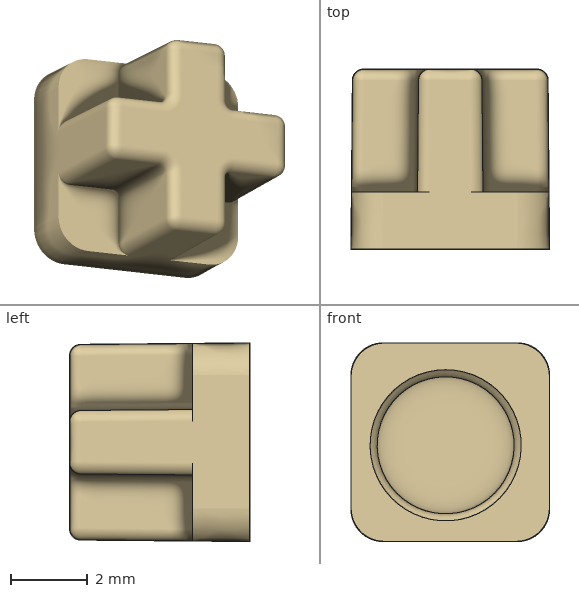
import cadquery as cq

draft_angle = 0.5

plate_size = 5.18
plate_thickness = 1.5
plate_corner_radius = 0.85

overall_depth = 4.7
arm_width = 1.73
edge_radius = 0.3
inner_corner_radius = 0.17

recess_center_x = -0.12
recess_center_z = -0.08
recess_mouth_diameter = 3.94
recess_floor_diameter = 3.57
recess_depth = 0.25

TOWARDS_BACK = cq.Plane(origin=(0, 0, 0), xDir=(1, 0, 0), normal=(0, 1, 0))


def make_plate():
    outline = (
        cq.Sketch()
        .rect(plate_size, plate_size)
        .vertices()
        .fillet(plate_corner_radius)
    )
    return cq.Workplane(TOWARDS_BACK).placeSketch(outline).extrude(plate_thickness, taper=draft_angle)


def make_cross_section():
    """Plus-shaped outline in the front plane, rounded only in its four inner corners."""
    inner_corner_box = cq.selectors.BoxSelector(
        (-arm_width, -arm_width, -arm_width),
        (arm_width, arm_width, arm_width),
    )
    return (
        cq.Sketch()
        .rect(plate_size, arm_width)
        .rect(arm_width, plate_size)
        .clean()
        .vertices(inner_corner_box)
        .fillet(inner_corner_radius)
    )


def make_stem():
    stem = (
        cq.Workplane(TOWARDS_BACK)
        .placeSketch(make_cross_section())
        .extrude(overall_depth, taper=draft_angle)
    )
    arm_ends_and_tip = stem.faces("<X or >X or <Z or >Z or >Y")
    return arm_ends_and_tip.edges().edges("not <Y").fillet(edge_radius)


def make_recess():
    mouth_radius = recess_mouth_diameter / 2
    floor_radius = recess_floor_diameter / 2
    return cq.Workplane(cq.Solid.makeCone(
        mouth_radius,
        floor_radius,
        recess_depth,
        pnt=cq.Vector(recess_center_x, 0, recess_center_z),
        dir=TOWARDS_BACK.zDir,
    ))


result = make_plate().union(make_stem()).cut(make_recess())